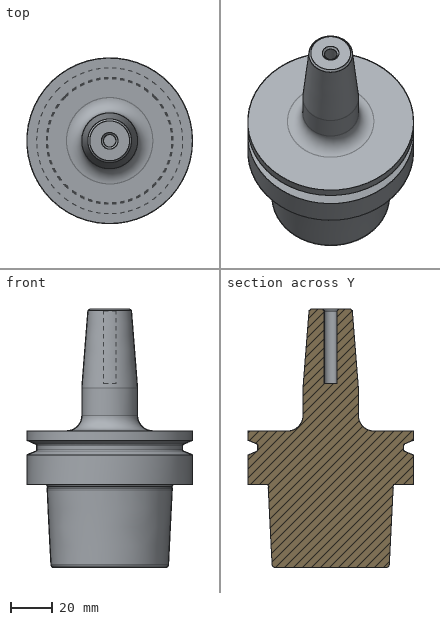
import cadquery as cq

total_height = 124.9
flange_bottom = 40.1
flange_top = 66.1
groove_bottom = 54.5
groove_top = 61.5
neck_bottom = 39.1
band_top = 38.3
shank_top = 37.6
nose_bottom = 86.8

flange_radius = 40.03
groove_radius = 35.2
relief_radius = 30.6
neck_radius = 30.0
shank_top_radius = 30.2
shank_taper = 0.05
stem_radius = 13.5
nose_tip_radius = 10.5

groove_flank_height = 2.0
groove_fillet = 0.7
shank_edge_fillet = 1.6
stem_base_fillet = 7.4
tip_chamfer = 0.9

bore_radius = 3.0
bore_depth = 36.0
bore_chamfer = 1.0


def revolve_profile(points):
    """Turn a closed (radius, height) outline around the Z axis."""
    return cq.Workplane("XZ").polyline(points).close().revolve(360, (0, 0, 0), (0, 1, 0))


def ring_edges(body, radius, height):
    """Select the circular edges with the given radius and height."""
    margin = 0.01
    reach = radius + margin
    selector = cq.selectors.BoxSelector(
        (-reach, -reach, height - margin), (reach, reach, height + margin), boundingbox=True
    )
    return body.edges(selector)


def make_shank():
    shank_bottom_radius = shank_top_radius - shank_taper * shank_top
    shank = revolve_profile([
        (0, 0),
        (shank_bottom_radius, 0),
        (shank_top_radius, shank_top),
        (shank_top_radius, band_top),
        (neck_radius, neck_bottom),
        (relief_radius, flange_bottom),
        (0, flange_bottom),
    ])
    return shank.faces("<Z").edges().fillet(shank_edge_fillet)


def make_flange():
    floor_bottom = groove_bottom + groove_flank_height
    floor_top = groove_top - groove_flank_height
    flange = revolve_profile([
        (0, flange_bottom),
        (flange_radius, flange_bottom),
        (flange_radius, groove_bottom),
        (groove_radius, floor_bottom),
        (groove_radius, floor_top),
        (flange_radius, groove_top),
        (flange_radius, flange_top),
        (0, flange_top),
    ])
    for height in (floor_bottom, floor_top):
        flange = ring_edges(flange, groove_radius, height).fillet(groove_fillet)
    return flange


def make_nose():
    nose = revolve_profile([
        (0, flange_top),
        (stem_radius, flange_top),
        (stem_radius, nose_bottom),
        (nose_tip_radius, total_height),
        (0, total_height),
    ])
    return nose.faces(">Z").edges().chamfer(tip_chamfer)


def make_bore():
    bore_mouth_radius = bore_radius + bore_chamfer
    bore_bottom = total_height - bore_depth
    return revolve_profile([
        (0, bore_bottom),
        (bore_radius, bore_bottom),
        (bore_radius, total_height - bore_chamfer),
        (bore_mouth_radius, total_height),
        (0, total_height),
    ])


body = make_shank().union(make_flange()).union(make_nose())
body = ring_edges(body, stem_radius, flange_top).fillet(stem_base_fillet)
result = body.cut(make_bore())